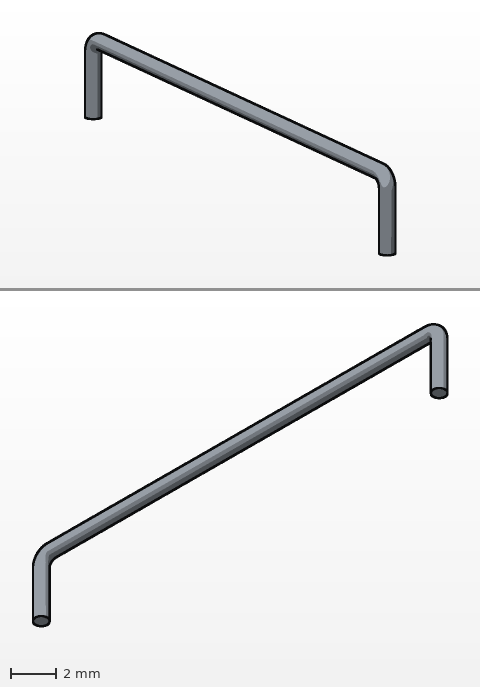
import cadquery as cq

overall_length = 24.75
overall_height = 3.98
wire_diameter = 0.75
bend_outer_radius = 1.0

wire_radius = wire_diameter / 2
bend_radius = bend_outer_radius - wire_radius
leg_x = overall_length / 2 - wire_radius
span_z = overall_height - wire_radius
leg_top_z = overall_height - bend_outer_radius
span_end_x = leg_x - bend_radius

centreline = (
    cq.Workplane("XZ")
    .moveTo(-leg_x, 0)
    .lineTo(-leg_x, leg_top_z)
    .tangentArcPoint((-span_end_x, span_z), relative=False)
    .lineTo(span_end_x, span_z)
    .tangentArcPoint((leg_x, leg_top_z), relative=False)
    .lineTo(leg_x, 0)
)

result = cq.Workplane("XY").center(-leg_x, 0).circle(wire_radius).sweep(centreline)